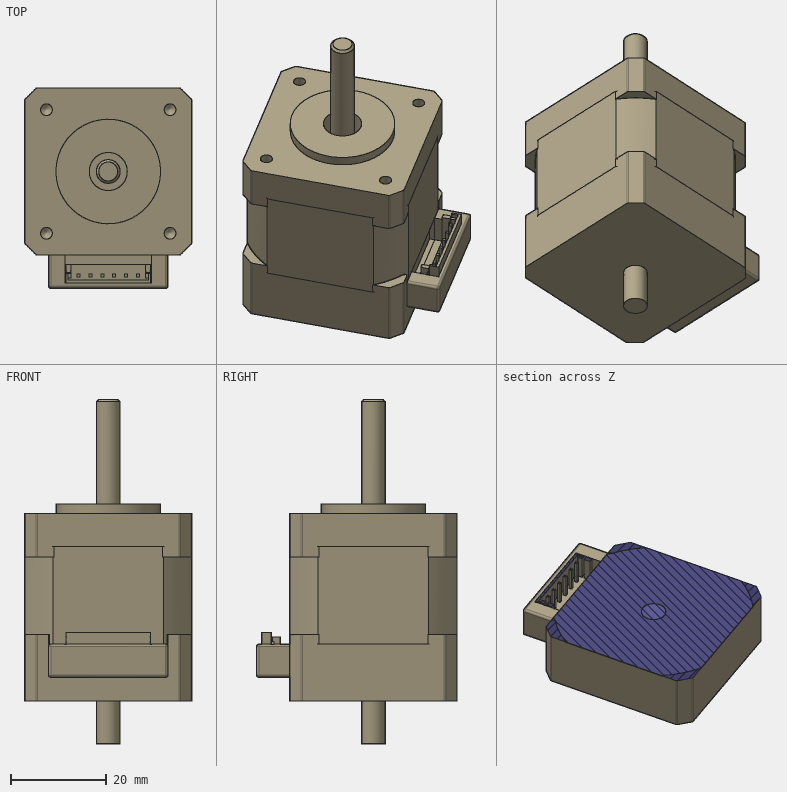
import cadquery as cq
import math


body_width = 35.2
body_height = 39.5
corner_chamfer = 2.5
corner_round = 0.5

front_cap_skirt = 9.15
front_cap_plate = 7.0
rear_cap_skirt = 14.0
rear_cap_plate = 12.0

stator_radius = 21.1
spigot_step = 0.1

pilot_diameter = 22.0
pilot_height = 2.0
pilot_bore = 8.0

mount_spacing = 26.0
mount_hole_diameter = 2.46
mount_hole_depth = 4.5
drill_point_angle = 118.0

shaft_diameter = 5.0
shaft_front_length = 24.0
shaft_rear_length = 9.0
shaft_chamfer = 0.5

cover_width = 25.1
cover_depth = 7.0
cover_height = 7.0
cover_round = 0.5
cover_slot_depth = 6.0

cover_slot_width = 18.1
slot_recess = 1.1
socket_width = 17.75
socket_back = 1.95
socket_front = 5.9
socket_base = 1.0
socket_wall_rise = 2.45
front_wall = 0.65
side_wall = 0.4
side_wall_start = 3.85
post_width = 1.0
post_rise = 1.55
post_end = 3.35
post_lip_end = 3.65
rib_end = 4.8
post_lip_underside = 0.45
pin_count = 6
pin_pitch = 2.5
pin_size = 0.64
pin_row = 4.25
pin_rise = 1.4

half_body = body_width / 2
side_y = -half_body
stator_bottom = rear_cap_plate
stator_top = body_height - front_cap_plate
front_cap_bottom = body_height - front_cap_skirt
spigot_radius = stator_radius - spigot_step
cover_top = rear_cap_plate
socket_bottom = cover_top - cover_slot_depth
socket_base_top = socket_bottom + socket_base


def cylinder(diameter, z_low, z_high):
    """Cylinder on the motor axis."""
    return cq.Workplane("XY").workplane(offset=z_low).circle(diameter / 2).extrude(z_high - z_low)


def square_bar(z_low, z_high):
    """Square bar of the full body width."""
    return cq.Workplane("XY").workplane(offset=z_low).rect(body_width, body_width).extrude(z_high - z_low)


def cap_block(z_low, z_high):
    """Square block with chamfered corners and slightly rounded chamfer edges."""
    block = square_bar(z_low, z_high).edges("|Z").chamfer(corner_chamfer)
    return block.edges("|Z").fillet(corner_round)


def stator_bar(radius, z_low, z_high):
    """Square bar whose corners are turned down to a radius."""
    return square_bar(z_low, z_high).intersect(cylinder(2 * radius, z_low, z_high))


def outboard_box(x_low, x_high, out_near, out_far, z_low, z_high):
    """Box placed by its distances outward (-Y) from the connector side of the motor."""
    size = (x_high - x_low, out_far - out_near, z_high - z_low)
    corner = (x_low, side_y - out_far, z_low)
    return cq.Workplane("XY").box(*size, centered=False).translate(corner)


def make_mount_hole():
    """Blind tapped hole with a drill point, opening upward at Z = 0."""
    radius = mount_hole_diameter / 2
    point_depth = radius / math.tan(math.radians(drill_point_angle / 2))
    outline = [
        (0, 0),
        (radius, 0),
        (radius, -mount_hole_depth),
        (0, -mount_hole_depth - point_depth),
    ]
    return cq.Workplane("XZ").polyline(outline).close().revolve(360, (0, 0), (0, 1))


def make_front_cap():
    pilot_top = body_height + pilot_height
    cap = cap_block(front_cap_bottom, body_height)
    cap = cap.union(cylinder(pilot_diameter, body_height, pilot_top))
    cap = cap.cut(stator_bar(spigot_radius, front_cap_bottom, stator_top))
    cap = cap.cut(cylinder(pilot_bore, front_cap_bottom, pilot_top))
    hole = make_mount_hole()
    for x in (-mount_spacing / 2, mount_spacing / 2):
        for y in (-mount_spacing / 2, mount_spacing / 2):
            cap = cap.cut(hole.translate((x, y, body_height)))
    return cap


def make_stator(front_cap, rear_cap):
    """Stator whose ends are stepped down to sit exactly in the recesses of both caps."""
    stator = stator_bar(stator_radius, stator_bottom, stator_top)
    stator = stator.cut(cylinder(shaft_diameter, stator_bottom, stator_top))
    return stator.cut(front_cap).cut(rear_cap)


def make_rear_cap():
    cap = cap_block(0, rear_cap_skirt)
    cap = cap.cut(stator_bar(spigot_radius, stator_bottom, rear_cap_skirt))
    half_cover = cover_width / 2
    notch_depth = half_body - math.sqrt(stator_radius**2 - half_cover**2)
    cap = cap.cut(outboard_box(-half_cover, half_cover, -notch_depth, 0, stator_bottom, rear_cap_skirt))
    half_slot = cover_slot_width / 2
    cap = cap.cut(outboard_box(-half_slot, half_slot, -slot_recess, 0, socket_bottom, cover_top))
    return cap.cut(cylinder(shaft_diameter, 0, rear_cap_skirt))


def make_shaft():
    shaft = cylinder(shaft_diameter, -shaft_rear_length, body_height + shaft_front_length)
    return shaft.faces(">Z").chamfer(shaft_chamfer)


def make_connector_cover():
    half_cover = cover_width / 2
    half_slot = cover_slot_width / 2
    cover = outboard_box(-half_cover, half_cover, 0, cover_depth, cover_top - cover_height, cover_top)
    cover = cover.edges("<Y or (|Y and (not >Y))").fillet(cover_round)
    return cover.cut(outboard_box(-half_slot, half_slot, 0, socket_front, socket_bottom, cover_top))


def make_socket_end():
    """+X end of the socket: a lipped rear post, then a side wall with a rib on its inside."""
    outer = socket_width / 2
    inner = outer - post_width
    post_top = cover_top + post_rise
    wall_top = cover_top + socket_wall_rise
    lip_bottom = cover_top + post_lip_underside
    post = outboard_box(inner, outer, socket_back, post_end, socket_bottom, post_top)
    lip = outboard_box(inner, outer, post_end, post_lip_end, lip_bottom, post_top)
    rib = outboard_box(inner, outer, side_wall_start, rib_end, socket_bottom, post_top)
    wall = outboard_box(outer - side_wall, outer, side_wall_start, socket_front, socket_bottom, wall_top)
    return post.union(lip), wall.union(rib)


def make_pin(x):
    half_pin = pin_size / 2
    return outboard_box(
        x - half_pin,
        x + half_pin,
        pin_row - half_pin,
        pin_row + half_pin,
        socket_bottom,
        cover_top + pin_rise,
    )


def make_connector_socket():
    outer = socket_width / 2
    wall_top = cover_top + socket_wall_rise
    wall_back = socket_front - front_wall
    socket = outboard_box(-outer, outer, socket_back, socket_front, socket_bottom, socket_base_top)
    socket = socket.union(outboard_box(-outer, outer, wall_back, socket_front, socket_bottom, wall_top))
    for piece in make_socket_end():
        socket = socket.union(piece).union(piece.mirror("YZ"))
    for index in range(pin_count):
        x = (index - (pin_count - 1) / 2) * pin_pitch
        socket = socket.union(make_pin(x))
    return socket


front_cap = make_front_cap()
rear_cap = make_rear_cap()
stator = make_stator(front_cap, rear_cap)
shaft = make_shaft()
connector_cover = make_connector_cover()
connector_socket = make_connector_socket()

result = cq.Compound.makeCompound(
    [
        front_cap.val(),
        stator.val(),
        rear_cap.val(),
        shaft.val(),
        connector_cover.val(),
        connector_socket.val(),
    ]
)